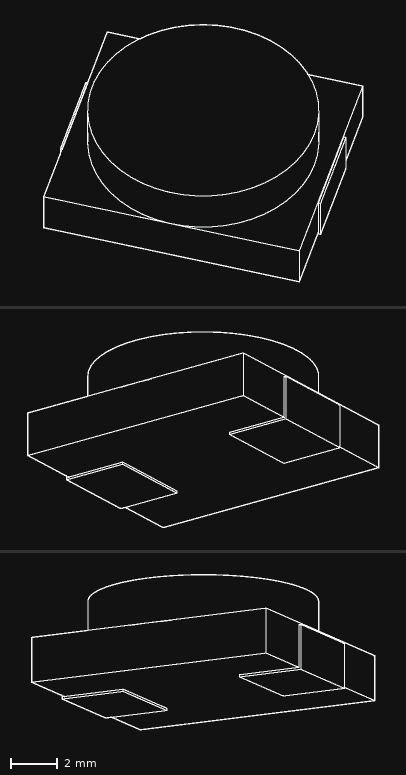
import cadquery as cq

overall_length = 11.7
base_width = 10.0
base_height = 2.0
cap_diameter = base_width
cap_height = 2.0
terminal_thickness = 0.1
terminal_width = 4.0
terminal_height = 2.0
terminal_foot_length = 3.0

base_length = overall_length - 2 * terminal_thickness
base_bottom = terminal_thickness
base_top = base_bottom + base_height


def make_base():
    """Rectangular base, raised off the ground by the terminal feet."""
    return (
        cq.Workplane("XY")
        .workplane(offset=base_bottom)
        .rect(base_length, base_width)
        .extrude(base_height)
    )


def make_cap():
    """Round cap resting on the middle of the base."""
    return (
        cq.Workplane("XY")
        .workplane(offset=base_top)
        .circle(cap_diameter / 2)
        .extrude(cap_height)
    )


def make_terminal(side):
    """L-shaped strip up one end of the base and under it; side is -1 or +1 along X."""
    outer_x = side * overall_length / 2
    inner_x = side * base_length / 2
    foot_x = side * (overall_length / 2 - terminal_foot_length)
    profile = [
        (outer_x, 0),
        (outer_x, terminal_height),
        (inner_x, terminal_height),
        (inner_x, terminal_thickness),
        (foot_x, terminal_thickness),
        (foot_x, 0),
    ]
    return (
        cq.Workplane("XZ")
        .polyline(profile)
        .close()
        .extrude(terminal_width / 2, both=True)
    )


base = make_base()
cap = make_cap()
terminals = [make_terminal(side) for side in (-1, 1)]

result = cq.Compound.makeCompound(
    [base.val(), cap.val(), *[terminal.val() for terminal in terminals]]
)